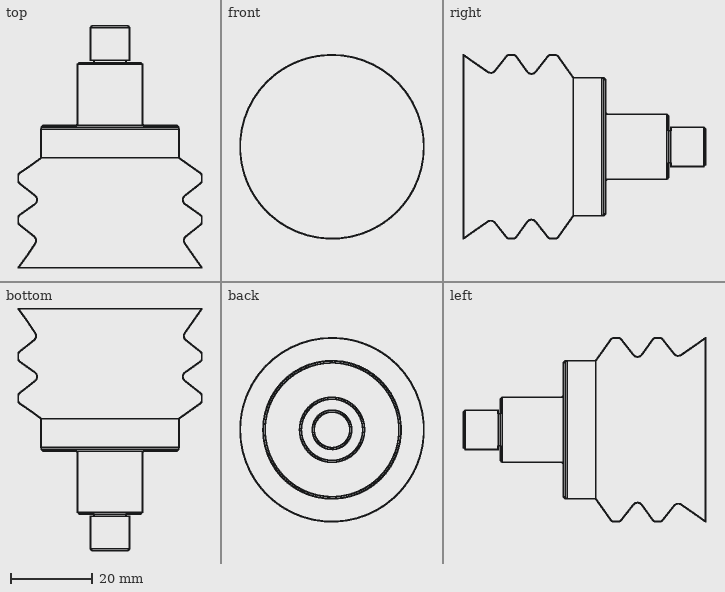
import cadquery as cq

total_length = 59.5
valley_1_y = 6.95
ridge_1_start = 10.8
ridge_1_end = 12.75
valley_2_y = 16.65
ridge_2_start = 21.0
ridge_2_end = 23.0
collar_start = 27.0
collar_end = 34.05
plate_end = 35.0
stem_end = 50.45
neck_end = 51.0

bellows_radius = 45.2 / 2
valley_1_radius = 17.75
valley_2_radius = 17.1
collar_radius = 34.0 / 2
plate_radius = 33.85 / 2
stem_radius = 16.0 / 2
neck_radius = 8.0 / 2
tip_radius = 9.7 / 2

valley_fillet = 1.25
ridge_fillet = 0.9
edge_chamfer = 0.5
stem_root_fillet = 0.5


def cylinder(radius, start, end):
    """Solid cylinder on the Y axis between two positions."""
    plane = cq.Workplane("XZ", origin=(0, start, 0))
    return plane.circle(radius).extrude(start - end)


def circles_at(positions):
    """Selector for the circular edges at the given positions along Y."""
    tolerance = 0.05
    reach = 2 * bellows_radius
    selector = None
    for y in positions:
        box = cq.selectors.BoxSelector((-reach, y - tolerance, -reach), (reach, y + tolerance, reach))
        selector = box if selector is None else selector + box
    return selector & cq.selectors.TypeSelector("CIRCLE")


def make_bellows():
    """Rubber lip, two folds and collar with rounded ridges and valleys."""
    profile = [
        (0, 0),
        (bellows_radius, 0),
        (valley_1_radius, valley_1_y),
        (bellows_radius, ridge_1_start),
        (bellows_radius, ridge_1_end),
        (valley_2_radius, valley_2_y),
        (bellows_radius, ridge_2_start),
        (bellows_radius, ridge_2_end),
        (collar_radius, collar_start),
        (collar_radius, collar_end),
        (0, collar_end),
    ]
    bellows = cq.Workplane("XY").polyline(profile).close().revolve(360, (0, 0, 0), (0, 1, 0))
    valleys = circles_at([valley_1_y, valley_2_y])
    bellows = bellows.edges(valleys).fillet(valley_fillet)
    ridges = circles_at([ridge_1_start, ridge_1_end, ridge_2_start, ridge_2_end])
    return bellows.edges(ridges).fillet(ridge_fillet)


def make_fitting():
    """Plate, stem, undercut neck and tip, joined end to end."""
    plate = cylinder(plate_radius, collar_end, plate_end).faces(">Y").chamfer(edge_chamfer)
    stem = cylinder(stem_radius, plate_end, stem_end).faces(">Y").chamfer(edge_chamfer)
    base = plate.union(stem)
    stem_root = base.edges(circles_at([plate_end])).edges(cq.selectors.RadiusNthSelector(0))
    base = base.newObject(stem_root.vals()).fillet(stem_root_fillet)
    neck = cylinder(neck_radius, stem_end, neck_end)
    tip = cylinder(tip_radius, neck_end, total_length).faces(">Y").chamfer(edge_chamfer)
    return base.union(neck).union(tip)


result = make_bellows().union(make_fitting())